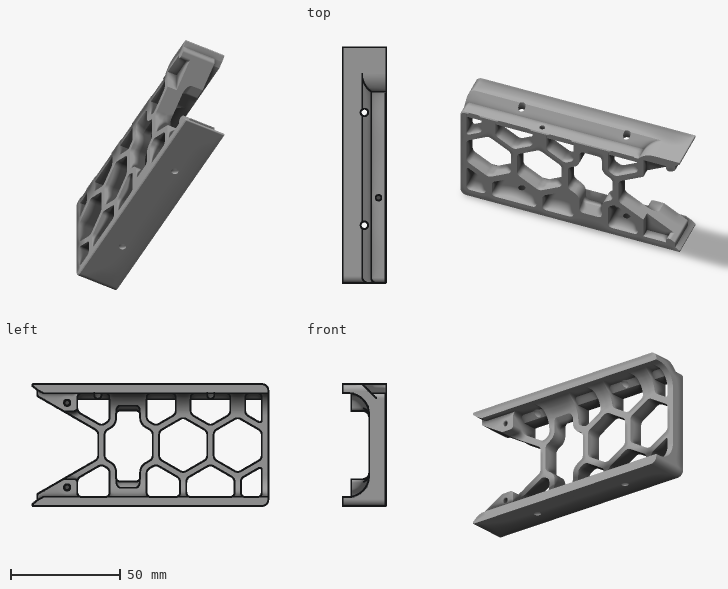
import cadquery as cq
import math

DEPTH = 20.0
LENGTH = 108.0
HALF_HEIGHT = 56.0 / 2
OVERSHOOT = 5.4
TOLERANCE = 0.01

FLANGE = 4.2
WEB_FRONT = 12.1
CHANNEL_RADIUS = 9.7
END_RADIUS = 3.1
INNER_Z = HALF_HEIGHT - FLANGE
RIM_CHAMFER = 0.4

TIP_EDGE = 1.0
TIP_RADIUS = 0.4
NOSE_Y = 105.9
NOSE_Z = 25.3
LIP_Y = 103.1

PITCH = 25.0
WALL = 3.0
SLOPE = math.tan(math.radians(30))
END_WALL = 3.1
HEX_WIDTH = PITCH - WALL
HEX_TIP = HEX_WIDTH / math.sqrt(3)
ROW_Z = PITCH * math.sqrt(3) / 2
HEX_RADIUS = 2.7
SEAT_RADIUS = 1.9
SHARP_RADIUS = 0.9
FIRST_HEX_Y = END_WALL + HEX_WIDTH / 2
HEX_CENTRES = [FIRST_HEX_Y + i * PITCH for i in range(3)]
EDGE_CENTRES = [FIRST_HEX_Y + (i - 0.5) * PITCH for i in range(4)]
END_HEX_Y = HEX_CENTRES[2] + PITCH - HEX_WIDTH / 2
SCREW_RIB = 6.9
SLOT_RIB = 17.1

SLOT_Y = 64.3
SLOT_WIDTH = 10.9
SLOT_BLEND = 5.1
SLOT_CORNER = 1.7
SLOT_Z = -0.4
SLOT_HALF_LENGTH = 16.2
FLARE_X = 14.5
THROAT_X = 15.8
FRONT_FLARE_SLOPE = 0.7
REAR_FLARE_SLOPE = 0.63
FLARE_ROUND = 3.9
FLARE_RISE = 4.3

BLOCK_X = 3.9
BLOCK_Y = EDGE_CENTRES[3] + HEX_WIDTH / 2
BLOCK_Z = 15.6
BLOCK_CORNER = 1.6
BLOCK_BLEND = 2.8
BLOCK_HOLE = 2.5
BLOCK_HOLE_MOUTH = 3.0
BLOCK_HOLE_DEPTH = 8.6
BLOCK_HOLE_Y = 92.2
BLOCK_HOLE_Z = 19.3
NOSE_RADIUS = 1.1

POCKET_X = 15.3
POCKET_Y = (90.2, 101.4)
POCKET_LIP_RADIUS = 1.6

RECESS_X = 8.9
RECESS_DEPTH = 4.2
RECESS_FRONT_RADIUS = 2.4
RECESS_END_Y = 95.7
RECESS_END_RADIUS = 9.9
RECESS_BREAK_DEPTH = 3.0
RECESS_BREAK_RUN = 1.0
RECESS_WALL = 2.8

FLANGE_HOLE = 3.3
FLANGE_HOLE_X = 9.9
FLANGE_HOLE_YS = (26.5, 78.1)
RIB_HOLE = 2.6
RIB_HOLE_X = 16.4
RIB_HOLE_DEPTH = 8.6


def mirrored(body):
    """The body together with its mirror image below Z = 0."""
    return body.union(body.mirror("XY"))


def plate(points, x_start=-OVERSHOOT, x_end=DEPTH + OVERSHOOT):
    """A Y-Z outline extruded along X."""
    return cq.Workplane("YZ", origin=(x_start, 0, 0)).polyline(points).close().extrude(x_end - x_start)


def rounded(body, points, radius):
    """Round the X-parallel edges that pass through the given Y-Z points."""
    def chosen(edge):
        centre = edge.Center()
        return any(math.hypot(centre.y - y, centre.z - z) < TOLERANCE for y, z in points)

    edges = [edge for edge in body.edges("|X").vals() if chosen(edge)]
    return body.newObject(edges).fillet(radius)


def envelope():
    """Solid envelope with rounded front edges and pointed flange ends."""
    half = [
        (0, HALF_HEIGHT),
        (LENGTH, HALF_HEIGHT),
        (LENGTH, HALF_HEIGHT - TIP_EDGE),
        (NOSE_Y, NOSE_Z),
    ]
    outline = half + [(y, -z) for y, z in reversed(half)]
    body = plate(outline, 0, DEPTH)
    body = rounded(body, [(0, HALF_HEIGHT), (0, -HALF_HEIGHT)], END_RADIUS)
    return rounded(body, [(LENGTH, HALF_HEIGHT), (LENGTH, -HALF_HEIGHT)], TIP_RADIUS)


def recess():
    """Lowered band on top: bevelled side, rounded front, curved run-out at the back."""
    floor_z = HALF_HEIGHT - RECESS_DEPTH
    above = HALF_HEIGHT + OVERSHOOT

    def arc_point(depth):
        run = math.sqrt(RECESS_END_RADIUS**2 - (RECESS_END_RADIUS - depth) ** 2)
        return (RECESS_END_Y - run, HALF_HEIGHT - depth)

    break_y, break_z = arc_point(RECESS_BREAK_DEPTH)
    shift = RECESS_FRONT_RADIUS * (1 - math.sqrt(0.5))
    band = (
        cq.Workplane("YZ")
        .moveTo(-OVERSHOOT, above)
        .lineTo(-OVERSHOOT, floor_z - RECESS_FRONT_RADIUS)
        .lineTo(0, floor_z - RECESS_FRONT_RADIUS)
        .threePointArc((shift, floor_z - shift), (RECESS_FRONT_RADIUS, floor_z))
        .lineTo(break_y - RECESS_BREAK_RUN, floor_z)
        .lineTo(break_y, break_z)
        .threePointArc(arc_point(RECESS_BREAK_DEPTH / 3), arc_point(0))
        .lineTo(RECESS_END_Y, above)
        .close()
        .extrude(DEPTH + OVERSHOOT)
    )
    bevel_drop = DEPTH + OVERSHOOT - RECESS_X
    bevel_side = (
        cq.Workplane("XZ", origin=(0, -OVERSHOOT, 0))
        .moveTo(RECESS_X, above)
        .lineTo(RECESS_X, HALF_HEIGHT)
        .line(bevel_drop, -bevel_drop)
        .lineTo(DEPTH + OVERSHOOT, above)
        .close()
        .extrude(-(LENGTH + 2 * OVERSHOOT))
    )
    return band.intersect(bevel_side)


def chamfer_rim(body):
    """Chamfer the back face's rim along the recess floor, the front end and the bottom."""
    def chosen(edge):
        centre = edge.Center()
        level = abs(edge.startPoint().z - edge.endPoint().z) < TOLERANCE
        on_top = centre.z > HALF_HEIGHT - TOLERANCE
        return (level and not on_top) or centre.y < END_RADIUS

    edges = [edge for edge in body.faces(">X").edges().vals() if chosen(edge)]
    return body.newObject(edges).chamfer(RIM_CHAMFER)


def channel():
    """Hollow between the flanges, with large fillets towards the web."""
    hollow = (
        cq.Workplane("XY")
        .box(WEB_FRONT + OVERSHOOT, LENGTH + 2 * OVERSHOOT, 2 * INNER_Z, centered=(False, False, True))
        .translate((-OVERSHOOT, -OVERSHOOT, 0))
        .edges("|Y and >X")
        .fillet(CHANNEL_RADIUS)
    )
    thinning = plate(
        [
            (BLOCK_Y - SEAT_RADIUS, BLOCK_Z),
            (BLOCK_Y - SEAT_RADIUS, INNER_Z),
            (LIP_Y, INNER_Z),
            (NOSE_Y, NOSE_Z),
            (LENGTH, NOSE_Z),
            (LENGTH, BLOCK_Z),
        ],
        x_end=BLOCK_X,
    )
    return hollow.union(mirrored(thinning))


def screw_block():
    """Upper screw block, blended into a stretch of the web."""
    web_y = BLOCK_Y - 2 * BLOCK_BLEND
    block = plate(
        [(BLOCK_Y, BLOCK_Z), (NOSE_Y, BLOCK_Z), (NOSE_Y, NOSE_Z), (BLOCK_Y, NOSE_Z)], BLOCK_X, DEPTH
    )
    block = rounded(block, [(BLOCK_Y, BLOCK_Z)], BLOCK_CORNER)
    web = plate([(web_y, 0), (NOSE_Y, 0), (NOSE_Y, NOSE_Z), (web_y, NOSE_Z)], WEB_FRONT, DEPTH)
    body = block.union(web)

    def joins_web(edge):
        box = edge.BoundingBox()
        at_web = box.xmax - box.xmin < TOLERANCE and abs(box.xmin - WEB_FRONT) < TOLERANCE
        centre = edge.Center()
        inside_y = web_y + TOLERANCE < centre.y < NOSE_Y - TOLERANCE
        return at_web and inside_y and TOLERANCE < centre.z < NOSE_Z - TOLERANCE

    edges = [edge for edge in body.edges().vals() if joins_web(edge)]
    foot_length = 2 * SEAT_RADIUS
    foot = (
        cq.Workplane("XY")
        .box(DEPTH - BLOCK_X, foot_length, SEAT_RADIUS + FLANGE / 2, centered=False)
        .translate((BLOCK_X, BLOCK_Y - SEAT_RADIUS, INNER_Z - SEAT_RADIUS))
    )
    return body.newObject(edges).fillet(BLOCK_BLEND).union(foot)


def hexagon(centre_y):
    """Full honeycomb opening on the middle row."""
    corners = [
        (centre_y + HEX_TIP * math.sin(angle), HEX_TIP * math.cos(angle))
        for angle in (math.radians(60 * i) for i in range(6))
    ]
    return plate(corners).edges("|X").fillet(HEX_RADIUS)


def half_slot():
    """Upper half of the slot; its rounded end leans outwards towards both faces of the web."""
    front_x = FLARE_X - FLARE_RISE / FRONT_FLARE_SLOPE
    rear_x = DEPTH + OVERSHOOT / 2
    rear_z = SLOT_HALF_LENGTH + (rear_x - THROAT_X) * REAR_FLARE_SLOPE
    half_width = SLOT_WIDTH / 2
    slot = (
        cq.Workplane("XZ")
        .moveTo(front_x, 0)
        .lineTo(front_x, SLOT_HALF_LENGTH + FLARE_RISE)
        .lineTo(FLARE_X, SLOT_HALF_LENGTH)
        .lineTo(THROAT_X, SLOT_HALF_LENGTH)
        .lineTo(rear_x, rear_z)
        .lineTo(rear_x, 0)
        .close()
        .extrude(half_width, both=True)
        .edges(cq.selectors.NearestToPointSelector((FLARE_X, 0, SLOT_HALF_LENGTH)))
        .fillet(FLARE_ROUND)
    )

    def along_end(edge):
        box = edge.BoundingBox()
        return box.ymax - box.ymin < TOLERANCE and box.xmax - box.xmin > TOLERANCE and box.zmin > TOLERANCE

    edges = [edge for edge in slot.edges().vals() if along_end(edge)]
    return slot.newObject(edges).fillet(SLOT_CORNER)


def slotted_hexagon(centre_y):
    """Honeycomb opening widened by a flared slot towards both flanges."""
    slot = mirrored(half_slot()).translate((0, SLOT_Y, SLOT_Z))
    opening = hexagon(centre_y).union(slot)
    junctions = []
    for y in (SLOT_Y - SLOT_WIDTH / 2, SLOT_Y + SLOT_WIDTH / 2):
        z = HEX_TIP - abs(y - centre_y) * SLOPE
        junctions += [(y, z), (y, -z)]
    return rounded(opening, junctions, SLOT_BLEND)


def edge_opening(centre_y, low_y, high_y):
    """Half honeycomb cell of the upper row, cut off at the flange and at both given sides."""
    def edge_z(y):
        return ROW_Z - HEX_TIP + abs(y - centre_y) * SLOPE

    lower = [(low_y, edge_z(low_y)), (high_y, edge_z(high_y))]
    if low_y < centre_y:
        lower.insert(1, (centre_y, edge_z(centre_y)))
    seat = [(high_y, INNER_Z), (low_y, INNER_Z)]
    body = plate(lower + seat)
    body = rounded(body, seat, SEAT_RADIUS)
    if low_y < centre_y:
        return rounded(body, lower, HEX_RADIUS)
    body = rounded(body, lower[:1], SHARP_RADIUS)
    return rounded(body, lower[1:], HEX_RADIUS)


def edge_row(rib):
    """The upper row of edge openings for a given width of the two narrow ribs."""
    sides = [
        END_WALL,
        HEX_CENTRES[0] - rib / 2,
        HEX_CENTRES[0] + rib / 2,
        HEX_CENTRES[1] - rib / 2,
        HEX_CENTRES[1] + rib / 2,
        SLOT_Y - SLOT_RIB / 2,
        SLOT_Y + SLOT_RIB / 2,
        BLOCK_Y,
    ]
    row = cq.Workplane("XY")
    for i, centre_y in enumerate(EDGE_CENTRES):
        row = row.union(edge_opening(centre_y, sides[2 * i], sides[2 * i + 1]))
    return row


def slope_z(y):
    """Height of the upper sloping side of the open end at a given Y."""
    return HEX_TIP / 2 + (y - END_HEX_Y) * SLOPE


def open_end():
    """V-shaped opening at the back of the web, between the two screw blocks."""
    corner_z = slope_z(END_HEX_Y)
    far_y = LENGTH + OVERSHOOT
    far_z = slope_z(far_y)
    corners = [(END_HEX_Y, corner_z), (END_HEX_Y, -corner_z)]
    body = plate([corners[0], corners[1], (far_y, -far_z), (far_y, far_z)])
    return rounded(body, corners, HEX_RADIUS)


def recess_lining():
    """Wall of even thickness that closes the web openings below the recess."""
    bevel_offset = RECESS_WALL * math.sqrt(2)
    under_z = HALF_HEIGHT - RECESS_DEPTH - RECESS_WALL
    start_x = RECESS_X - bevel_offset + FLANGE
    drop = INNER_Z - under_z
    return (
        cq.Workplane("XZ", origin=(0, END_WALL / 2, 0))
        .moveTo(start_x, INNER_Z)
        .line(drop, -drop)
        .lineTo(DEPTH - RIM_CHAMFER, under_z)
        .lineTo(DEPTH - RIM_CHAMFER, INNER_Z)
        .close()
        .extrude(-(BLOCK_Y - END_WALL / 2))
    )


def end_pocket():
    """Pocket in the back of the upper screw block."""
    low_y, high_y = POCKET_Y
    return plate([(low_y, 0), (high_y, 0), (high_y, INNER_Z), (low_y, INNER_Z)], POCKET_X)


def block_hole():
    """Blind hole in the upper screw block with a small countersink."""
    sink = (BLOCK_HOLE_MOUTH - BLOCK_HOLE) / 2
    face = cq.Workplane("YZ", origin=(BLOCK_X, BLOCK_HOLE_Y, BLOCK_HOLE_Z))
    bore = face.circle(BLOCK_HOLE / 2).extrude(BLOCK_HOLE_DEPTH)
    mouth = cq.Solid.makeCone(
        BLOCK_HOLE_MOUTH / 2, BLOCK_HOLE / 2, sink, face.plane.origin, cq.Vector(1, 0, 0)
    )
    return bore.union(cq.Workplane(obj=mouth))


def flange_hole(y):
    """Hole straight through both flanges."""
    centre = cq.Workplane("XY").center(FLANGE_HOLE_X, y)
    return centre.circle(FLANGE_HOLE / 2).extrude(HALF_HEIGHT, both=True)


def rib_hole():
    """Blind hole from the recess floor down into the middle narrow rib."""
    floor = cq.Workplane("XY", origin=(RIB_HOLE_X, HEX_CENTRES[1], HALF_HEIGHT - RECESS_DEPTH))
    return floor.circle(RIB_HOLE / 2).extrude(-RIB_HOLE_DEPTH)


body = envelope().cut(recess())
body = chamfer_rim(body).cut(channel())
body = body.union(mirrored(screw_block()).cut(recess()))

body = body.cut(edge_row(SCREW_RIB)).cut(edge_row(WALL).mirror("XY"))
for y in HEX_CENTRES[:2]:
    body = body.cut(hexagon(y))
body = body.cut(slotted_hexagon(HEX_CENTRES[2])).cut(open_end())
body = body.union(recess_lining().cut(recess()))

body = body.cut(mirrored(end_pocket()))
for y, radius in ((POCKET_Y[1], POCKET_LIP_RADIUS), (NOSE_Y, NOSE_RADIUS)):
    body = rounded(body, [(y, slope_z(y)), (y, -slope_z(y))], radius)

body = body.cut(mirrored(block_hole())).cut(rib_hole())
for y in FLANGE_HOLE_YS:
    body = body.cut(flange_hole(y))

result = body.solids()